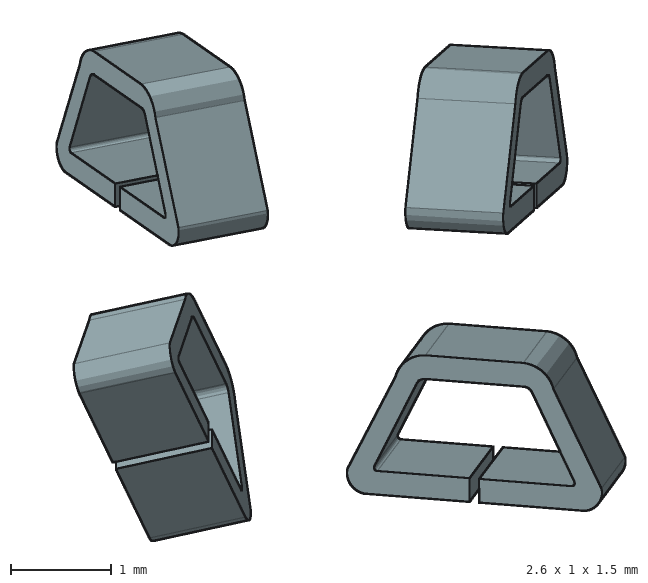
import cadquery as cq

depth = 1.0
height = 1.5
wall = 0.25
gap = 0.1

top_flat_half = 0.5
shoulder_half = 0.805
foot_half = 1.295
base_flat_half = 1.123

shoulder_mid = (0.697, 1.425)
foot_mid = (1.26, 0.083)

window_top_half = 0.562
window_base_half = 1.043
window_top_radius = 0.088
window_base_radius = 0.035

shoulder_z = height - wall
foot_z = wall


def mirrored(point):
    """Reflect an (x, z) point across the middle plane of the ring."""
    x, z = point
    return (-x, z)


def make_body():
    """Solid trapezoid with round shoulders and feet."""
    return (
        cq.Workplane("XZ")
        .moveTo(-base_flat_half, 0)
        .lineTo(base_flat_half, 0)
        .threePointArc(foot_mid, (foot_half, foot_z))
        .lineTo(shoulder_half, shoulder_z)
        .threePointArc(shoulder_mid, (top_flat_half, height))
        .lineTo(-top_flat_half, height)
        .threePointArc(mirrored(shoulder_mid), (-shoulder_half, shoulder_z))
        .lineTo(-foot_half, foot_z)
        .threePointArc(mirrored(foot_mid), (-base_flat_half, 0))
        .close()
        .extrude(depth / 2, both=True)
    )


def make_window():
    """Trapezoidal through-opening with rounded corners."""
    window_base_z = wall
    window_top_z = height - wall
    window = (
        cq.Workplane("XZ")
        .polyline([
            (-window_base_half, window_base_z),
            (window_base_half, window_base_z),
            (window_top_half, window_top_z),
            (-window_top_half, window_top_z),
        ])
        .close()
        .extrude(depth / 2, both=True)
    )
    window = window.faces(">Z").edges("|Y").fillet(window_top_radius)
    return window.faces("<Z").edges("|Y").fillet(window_base_radius)


def make_gap():
    """Slot that splits the base and opens into the window."""
    slot_height = 2 * wall
    return cq.Workplane("XY").box(gap, depth, slot_height)


result = make_body().cut(make_window()).cut(make_gap())